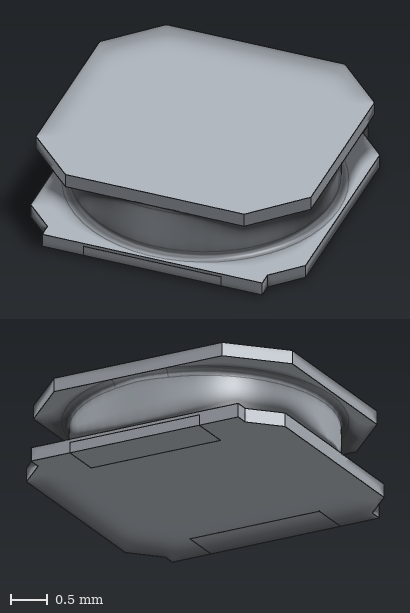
import cadquery as cq

SIDE = 4.0
HEIGHT = 1.2
PLATE_THICKNESS = 0.2

BASE_CORNER_X = 0.4
BASE_STEP_Y = 0.2
BASE_CUT_END_Y = BASE_STEP_Y + BASE_CORNER_X

TOP_DEPTH = 3.8
TOP_CHAMFER = 0.7

WAIST_RADIUS = 1.85
FLARE_RADIUS = 0.1
WAIST_HEIGHT = HEIGHT - 2 * PLATE_THICKNESS

TERMINAL_WIDTH = 2.0
TERMINAL_LENGTH = 0.6
TERMINAL_HEIGHT = 0.15


def make_base_plate():
    half = SIDE / 2
    quarter = [
        (half, half - BASE_CUT_END_Y),
        (half - BASE_CORNER_X, half - BASE_STEP_Y),
        (half - BASE_CORNER_X, half),
    ]
    right_half = [(x, -y) for x, y in reversed(quarter)] + quarter
    left_half = [(-x, -y) for x, y in right_half]
    return cq.Workplane("XY").polyline(right_half + left_half).close().extrude(PLATE_THICKNESS)


def make_top_plate():
    return (
        cq.Workplane("XY")
        .workplane(offset=HEIGHT - PLATE_THICKNESS)
        .rect(SIDE, TOP_DEPTH)
        .extrude(PLATE_THICKNESS)
        .edges("|Z")
        .chamfer(TOP_CHAMFER)
    )


def make_waist():
    return (
        cq.Workplane("XY")
        .workplane(offset=PLATE_THICKNESS)
        .circle(WAIST_RADIUS)
        .extrude(WAIST_HEIGHT)
    )


def make_core():
    """Join the plates to the waist and flare both joints; the top flare stops at the plate's edges."""
    core = make_base_plate().union(make_waist()).union(make_top_plate())
    return core.edges("%CIRCLE").fillet(FLARE_RADIUS)


def make_terminal(side):
    """Make a terminal flush with the underside; side is -1 for the front and 1 for the back."""
    center_y = side * (SIDE - TERMINAL_LENGTH) / 2
    return (
        cq.Workplane("XY")
        .center(0, center_y)
        .rect(TERMINAL_WIDTH, TERMINAL_LENGTH)
        .extrude(TERMINAL_HEIGHT)
    )


terminals = [make_terminal(side) for side in (-1, 1)]

core = make_core()
for terminal in terminals:
    core = core.cut(terminal)

result = cq.Compound.makeCompound([core.val(), *[terminal.val() for terminal in terminals]])